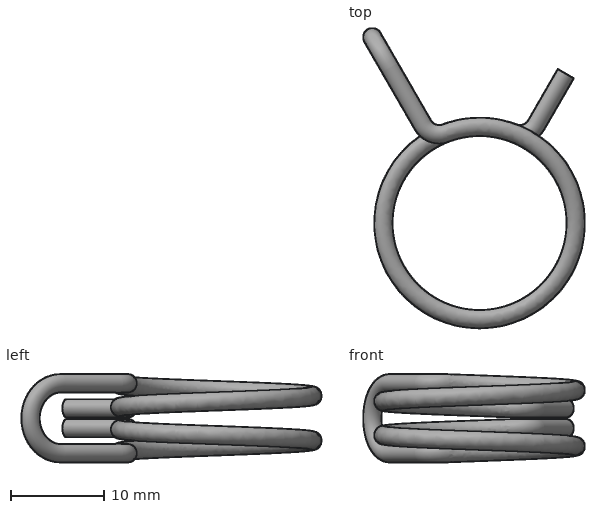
import cadquery as cq
import math


OVERALL_LENGTH = 32.15
OVERALL_HEIGHT = 9.5
WIRE_DIAMETER = 2.0
COIL_RADIUS = 10.3
ARM_ANGLE = 30.0
TAIL_END_RADIUS = 18.45
TAIL_HEIGHT = 1.05

BEND_RADIUS = WIRE_DIAMETER
BEND_CENTRE_RADIUS = COIL_RADIUS + BEND_RADIUS
BEND_END_RADIUS = math.sqrt(BEND_CENTRE_RADIUS**2 - BEND_RADIUS**2)
BEND_SPREAD = math.degrees(math.asin(BEND_RADIUS / BEND_CENTRE_RADIUS))

GRIP_HEIGHT = (OVERALL_HEIGHT - WIRE_DIAMETER) / 2

COIL_END_ANGLE = ARM_ANGLE - BEND_SPREAD
COIL_SWEEP = 360 + 2 * COIL_END_ANGLE
COIL_RISE = GRIP_HEIGHT - TAIL_HEIGHT
COIL_PITCH = COIL_RISE * 360 / COIL_SWEEP

GRIP_TIP_Y = OVERALL_LENGTH - COIL_RADIUS - WIRE_DIAMETER
GRIP_TIP_RADIUS = GRIP_TIP_Y / math.cos(math.radians(ARM_ANGLE))
GRIP_ARM_END_RADIUS = GRIP_TIP_RADIUS - GRIP_HEIGHT


def sweep_wire(path, start, direction):
    """Sweep the round wire section along a path."""
    section_plane = cq.Plane(origin=start, normal=direction)
    section = cq.Workplane(section_plane).circle(WIRE_DIAMETER / 2)
    return section.sweep(path, isFrenet=True)


def lean(body, angle):
    """Turn a body about the coil axis."""
    return body.rotate((0, 0, 0), (0, 0, 1), angle)


def coil():
    """Upper coil, starting at the tail bend."""
    helix = cq.Wire.makeHelix(COIL_PITCH, COIL_RISE, COIL_RADIUS)
    turns = sweep_wire(cq.Workplane(helix), (COIL_RADIUS, 0, 0), (0, 1, 0))
    start_angle = 90 - COIL_END_ANGLE
    return lean(turns, start_angle).translate((0, 0, TAIL_HEIGHT))


def arm(end_radius, height):
    """Straight arm along +Y with its bend turning onto the coil on the -X side."""
    start = (0, end_radius, height)
    bend_start = (0, BEND_END_RADIUS)
    spread = math.radians(BEND_SPREAD)
    bend_end = (-COIL_RADIUS * math.sin(spread), COIL_RADIUS * math.cos(spread))
    half_turn = math.radians(90 - BEND_SPREAD) / 2
    bend_middle = (
        -BEND_RADIUS * (1 - math.cos(half_turn)),
        BEND_END_RADIUS - BEND_RADIUS * math.sin(half_turn),
    )
    path = (
        cq.Workplane("XY", origin=(0, 0, height))
        .moveTo(0, end_radius)
        .lineTo(*bend_start)
        .threePointArc(bend_middle, bend_end)
    )
    return sweep_wire(path, start, (0, -1, 0))


def tail():
    """Upper tail, cut square at its free end."""
    return lean(arm(TAIL_END_RADIUS, TAIL_HEIGHT), -ARM_ANGLE)


def grip_arm():
    """Upper arm of the grip, bent the opposite way to the tail."""
    straight_arm = arm(GRIP_ARM_END_RADIUS, GRIP_HEIGHT).mirror("YZ")
    return lean(straight_arm, ARM_ANGLE)


def grip_loop():
    """Half circle between the two grip arms."""
    start = (0, GRIP_ARM_END_RADIUS, GRIP_HEIGHT)
    path = (
        cq.Workplane("YZ")
        .moveTo(GRIP_ARM_END_RADIUS, GRIP_HEIGHT)
        .threePointArc((GRIP_TIP_RADIUS, 0), (GRIP_ARM_END_RADIUS, -GRIP_HEIGHT))
    )
    return lean(sweep_wire(path, start, (0, 1, 0)), ARM_ANGLE)


upper_half = coil().union(tail()).union(grip_arm())
lower_half = upper_half.mirror("XY")
result = upper_half.union(grip_loop()).union(lower_half)